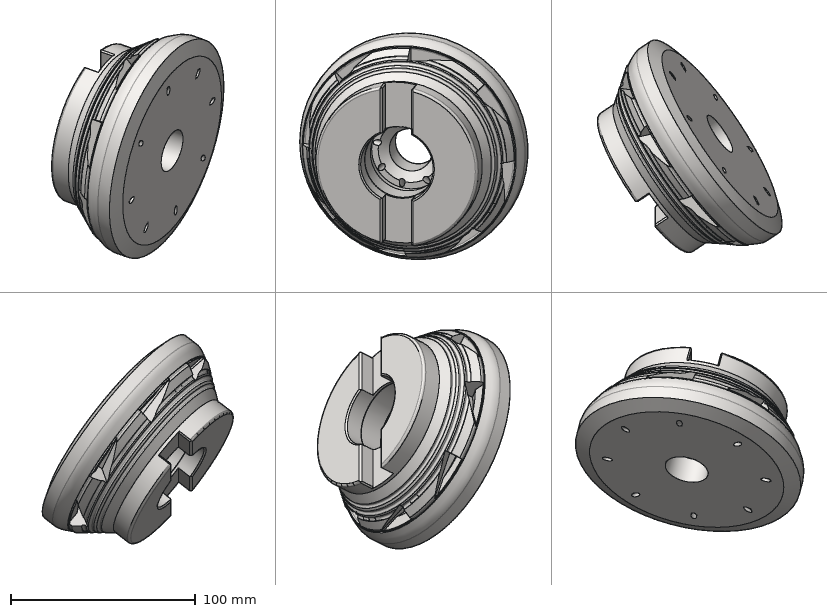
import cadquery as cq
import math

total_length = 50.0
rim_radius = 62.5

hub_radius = 45.1
hub_round = 1.4
cone_start_x = 11.0
cone_end_x = 29.0
cone_end_radius = 58.7

groove_spans = [(16.1, 18.2), (19.5, 21.9), (22.6, 24.7)]
groove_round = 1.2

neck_step_x = 30.4
neck_end_radius = 58.9
rim_start_x = 31.2
rim_start_radius = 59.5
dome_x = 39.4
rim_corner_x = 46.6
face_radius = 53.9

slot_width = 16.2
slot_depth = 9.0
slot_chamfer = 1.1
slot_end_chamfer = 1.0

bore_radius = 20.0
bore_chamfer = 0.9
entry_clearance = 0.1
entry_depth = 10.5
bore_depth = 24.2
undercut_step = 0.9
seat_x = 31.2
seat_radius = 17.2
seat_cone_length = 3.7
through_radius = 11.9

pocket_count = 8
pocket_wall_offset = 0.9
pocket_length = 27.5
pocket_start_x = 21.9
pocket_start_height = 53.4
pocket_edge_x = 30.2
pocket_edge_height = 45.0
pocket_edge_rise = 8.1
pocket_floor_x = 34.6
pocket_top_height = 65.0
pocket_lip_round = 1.0
pocket_floor_bend_radius = 51.2

coolant_radius = 1.56
coolant_offset = 4.0
coolant_seat_height = 17.2
coolant_angle = 55.0


def cone_radius(x):
    slope = (cone_end_radius - hub_radius) / (cone_end_x - cone_start_x)
    return hub_radius + slope * (x - cone_start_x)


def revolve_about_x(profile):
    """Turn a closed profile, drawn as (x, radius), around the X axis."""
    return profile.close().revolve(360, (0, 0, 0), (1, 0, 0))


def make_body():
    profile = (
        cq.Workplane("XY")
        .moveTo(0, 0)
        .lineTo(0, hub_radius - hub_round)
        .tangentArcPoint((hub_round, hub_radius), relative=False)
        .lineTo(cone_start_x, hub_radius)
    )
    for start_x, end_x in groove_spans:
        floor_radius = cone_radius(start_x)
        profile = (
            profile.lineTo(start_x, floor_radius)
            .lineTo(end_x - groove_round, floor_radius)
            .tangentArcPoint((end_x, floor_radius + groove_round), relative=False)
            .lineTo(end_x, cone_radius(end_x))
        )
    profile = (
        profile.lineTo(cone_end_x, cone_end_radius)
        .lineTo(neck_step_x, neck_end_radius)
        .lineTo(rim_start_x, neck_end_radius)
        .lineTo(rim_start_x, rim_start_radius)
        .spline(
            [(dome_x, rim_radius)],
            tangents=[(dome_x - rim_start_x, rim_radius - rim_start_radius), (1, 0)],
            includeCurrent=True,
        )
        .lineTo(rim_corner_x, rim_radius)
        .lineTo(total_length, face_radius)
        .lineTo(total_length, 0)
    )
    return revolve_about_x(profile)


def make_bore():
    entry_radius = bore_radius + entry_clearance
    undercut_radius = bore_radius + undercut_step
    seat_end_x = seat_x + seat_cone_length
    return revolve_about_x(
        cq.Workplane("XY")
        .moveTo(0, 0)
        .lineTo(0, entry_radius + bore_chamfer)
        .lineTo(bore_chamfer, entry_radius)
        .lineTo(entry_depth, entry_radius)
        .lineTo(entry_depth + entry_clearance, bore_radius)
        .lineTo(bore_depth, bore_radius)
        .lineTo(bore_depth + undercut_step, undercut_radius)
        .lineTo(seat_x, undercut_radius)
        .lineTo(seat_x, seat_radius)
        .lineTo(seat_end_x, through_radius)
        .lineTo(total_length, through_radius)
        .lineTo(total_length, 0)
    )


def make_slot():
    half_width = slot_width / 2
    half_mouth = half_width + slot_chamfer
    return (
        cq.Workplane("XY")
        .polyline([
            (0, -half_mouth),
            (slot_chamfer, -half_width),
            (slot_depth, -half_width),
            (slot_depth, half_width),
            (slot_chamfer, half_width),
            (0, half_mouth),
        ])
        .close()
        .extrude(hub_radius + 1.2, both=True)
    )


def make_pocket():
    """Pocket at the top of the body: a slanted wedge under a conical floor that faces the hub."""
    overrun = 1.2
    wall_outline = [
        (pocket_start_x - overrun, pocket_start_height + overrun),
        (pocket_edge_x, pocket_edge_height),
        (pocket_floor_x, pocket_edge_height),
        (pocket_floor_x, pocket_top_height),
        (pocket_start_x - overrun, pocket_top_height),
    ]
    wall = cq.Wire.makePolygon(
        [cq.Vector(x, -pocket_wall_offset, height) for x, height in wall_outline], close=True
    )
    sideways = cq.Vector(0, -pocket_length, pocket_edge_rise)
    wedge = cq.Workplane(obj=cq.Solid.extrudeLinear(wall, [], sideways))
    lip_middle_radius = neck_end_radius - pocket_lip_round * (1 - math.cos(math.pi / 4))
    floor_limit = revolve_about_x(
        cq.Workplane("XY")
        .moveTo(0, 0)
        .lineTo(0, 2 * rim_radius)
        .lineTo(neck_step_x, 2 * rim_radius)
        .lineTo(neck_step_x, neck_end_radius)
        .threePointArc(
            (neck_step_x + pocket_lip_round * math.sin(math.pi / 4), lip_middle_radius),
            (neck_step_x + pocket_lip_round, neck_end_radius - pocket_lip_round),
        )
        .lineTo(neck_step_x + pocket_lip_round, pocket_floor_bend_radius)
        .lineTo(pocket_floor_x, pocket_edge_height)
        .lineTo(pocket_floor_x, 0)
    )
    return wedge.intersect(floor_limit)


def make_coolant_hole():
    """Slanted hole through the seat edge, standing off the axis plane by the coolant offset."""
    slant = math.radians(coolant_angle)
    lead_in = 2 * coolant_radius
    hole_length = lead_in + total_length / math.cos(slant)
    axis = cq.Vector(math.cos(slant), 0, math.sin(slant))
    seat_point = cq.Vector(seat_x, -coolant_offset, coolant_seat_height)
    start = seat_point - axis * lead_in
    return cq.Workplane(obj=cq.Solid.makeCylinder(coolant_radius, hole_length, start, axis))


def make_slot_flare():
    """Wedge that bevels the corners where the slot walls meet the hub cylinder at the top."""
    half_width = slot_width / 2
    corner_height = math.sqrt(hub_radius**2 - half_width**2)
    bevel_start = corner_height - slot_end_chamfer
    overrun = 2 * slot_end_chamfer
    return (
        cq.Workplane("YZ")
        .polyline([
            (-half_width, bevel_start),
            (half_width, bevel_start),
            (half_width + overrun, bevel_start + overrun),
            (-half_width - overrun, bevel_start + overrun),
        ])
        .close()
        .extrude(slot_depth)
    )


slot_flare = make_slot_flare()
result = make_body().cut(make_slot())
result = result.cut(slot_flare).cut(slot_flare.mirror("XY"))
result = result.cut(make_bore())
pocket_cut = make_pocket().union(make_coolant_hole())
for index in range(pocket_count):
    result = result.cut(pocket_cut.rotate((0, 0, 0), (1, 0, 0), index * 360 / pocket_count))